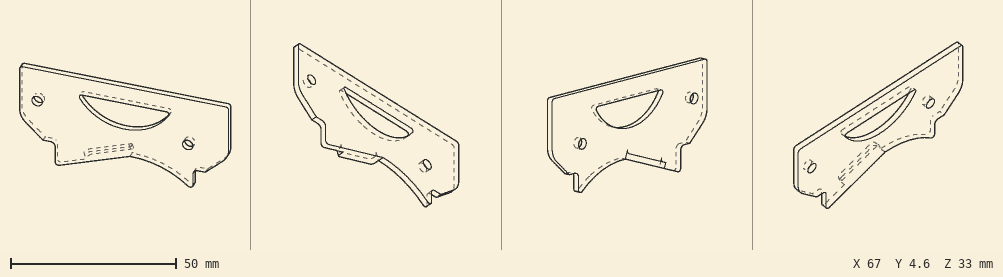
import cadquery as cq
import math

length = 67.0
thickness = 2.0
half_length = length / 2
top_corner_radius = 1.0
side_bottom_z = -18.0
side_corner_radius = 6.0
ledge_z = -25.0
ledge_outer_x = 26.0
leg_x = 22.1
leg_root_radius = 1.5
leg_tip_radius = 1.0

crest_x = 1.9
crest_z = -24.65
slope_angle = 20.0
slope = math.tan(math.radians(slope_angle))
arc_middle_x = 12.4
arc_middle_z = -26.45
arc_end_z = -32.7

window_top_z = -6.0
window_bottom_z = -15.2
window_radius = 16.75
window_corner_radius = 0.8
hole_diameter = 3.3
hole_centers = [(-27.9, -11.4), (20.4, -16.4)]

flange_length = 15.7
flange_thickness = 1.9
flange_reach = 2.6
flange_corner_radius = 1.0
bend_radius = 1.0


def extrude_back(sketch, depth):
    """Extrude an XZ sketch toward +Y."""
    return sketch.extrude(-depth)


def round_edges(plate, points, radius):
    """Round the through-thickness edges that stand at the given (x, z) points."""
    for x, z in points:
        edge = cq.selectors.NearestToPointSelector((x, thickness / 2, z))
        plate = plate.edges("|Y").edges(edge).fillet(radius)
    return plate


def make_plate():
    left_leg_z = crest_z - slope * (leg_x + crest_x)
    outline = (
        cq.Workplane("XZ")
        .moveTo(-half_length, 0)
        .lineTo(half_length, 0)
        .lineTo(half_length, side_bottom_z)
        .lineTo(ledge_outer_x, ledge_z)
        .lineTo(leg_x, ledge_z)
        .lineTo(leg_x, arc_end_z)
        .threePointArc((arc_middle_x, arc_middle_z), (crest_x, crest_z))
        .lineTo(-leg_x, left_leg_z)
        .lineTo(-leg_x, ledge_z)
        .lineTo(-ledge_outer_x, ledge_z)
        .lineTo(-half_length, side_bottom_z)
        .close()
    )
    plate = extrude_back(outline, thickness)
    for side in (-1, 1):
        plate = round_edges(plate, [(side * half_length, 0)], top_corner_radius)
        plate = round_edges(plate, [(side * half_length, side_bottom_z)], side_corner_radius)
        plate = round_edges(plate, [(side * leg_x, ledge_z)], leg_root_radius)
    return round_edges(plate, [(-leg_x, left_leg_z), (leg_x, arc_end_z)], leg_tip_radius)


def make_window():
    center_z = window_bottom_z + window_radius
    half_width = math.sqrt(window_radius**2 - (center_z - window_top_z) ** 2)
    outline = (
        cq.Workplane("XZ")
        .moveTo(-half_width, window_top_z)
        .lineTo(half_width, window_top_z)
        .threePointArc((0, window_bottom_z), (-half_width, window_top_z))
        .close()
    )
    return extrude_back(outline, thickness).edges("|Y").fillet(window_corner_radius)


def make_holes():
    circles = cq.Workplane("XZ").pushPoints(hole_centers).circle(hole_diameter / 2)
    return extrude_back(circles, thickness)


def make_flange():
    """Build the flange along X, ending at the origin, then tilt it onto the slope."""
    back_y = thickness + flange_reach
    blade = (
        cq.Workplane("XY")
        .box(flange_length, back_y, flange_thickness, centered=False)
        .translate((-flange_length, 0, 0))
        .edges("|Z and >Y")
        .fillet(flange_corner_radius)
    )
    bend = (
        cq.Workplane("YZ")
        .moveTo(thickness, flange_thickness)
        .lineTo(thickness + bend_radius, flange_thickness)
        .radiusArc((thickness, flange_thickness + bend_radius), bend_radius)
        .close()
        .extrude(-flange_length)
    )
    return (
        blade.union(bend)
        .rotate((0, 0, 0), (0, 1, 0), -slope_angle)
        .translate((crest_x, 0, crest_z))
    )


result = make_plate().union(make_flange()).cut(make_window()).cut(make_holes())